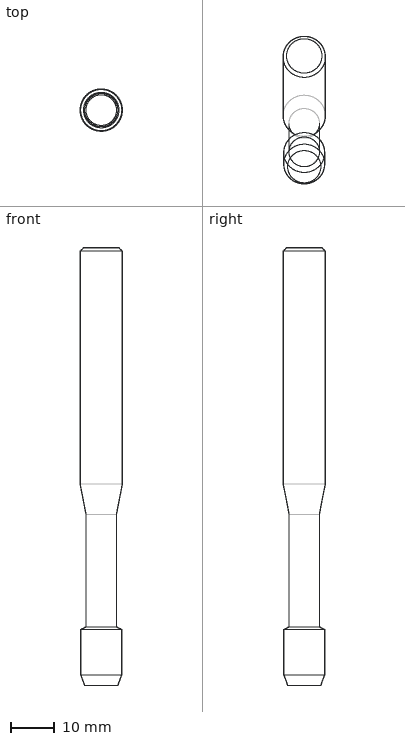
import cadquery as cq

total_length = 100.0
shank_radius = 4.85
shank_bottom = 46.0
top_chamfer = 0.8

neck_radius = 3.5
neck_top = 39.1
neck_bottom = 13.4

head_radius = 4.7
head_shoulder = 12.8
tip_radius = 3.8
tip_height = 2.4


def revolve_about_z(outline):
    """Solid of revolution from (radius, height) points that start and end on the axis."""
    return cq.Workplane("XZ").polyline(outline).close().revolve(360, (0, 0), (0, 1))


def make_shank():
    """Cylindrical shank, chamfered on top and tapering down to the neck."""
    return revolve_about_z([
        (0, neck_bottom),
        (neck_radius, neck_bottom),
        (neck_radius, neck_top),
        (shank_radius, shank_bottom),
        (shank_radius, total_length - top_chamfer),
        (shank_radius - top_chamfer, total_length),
        (0, total_length),
    ])


def make_head():
    """Cylindrical head with a tapered tip and a shoulder sloping up to the neck."""
    return revolve_about_z([
        (0, 0),
        (tip_radius, 0),
        (head_radius, tip_height),
        (head_radius, head_shoulder),
        (neck_radius, neck_bottom),
        (0, neck_bottom),
    ])


shank = make_shank()
head = make_head()

result = cq.Compound.makeCompound([shank.val(), head.val()])